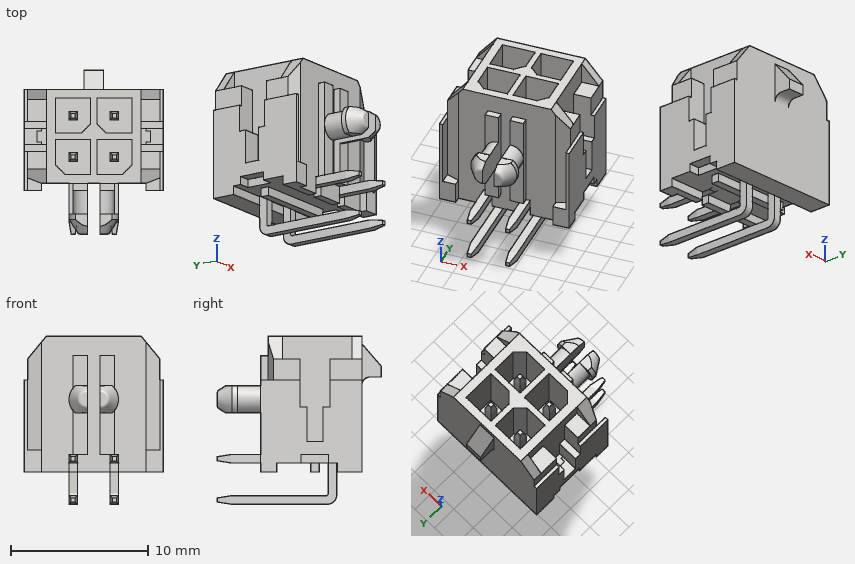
import cadquery as cq
import math


HOUSING_HEIGHT = 9.89
HOUSING_DEPTH = 6.83
TOP_HALF_WIDTH = 3.45
BODY_HALF_WIDTH = 4.81
SHOULDER_Z = 8.24
FRONT_PILLAR_DEPTH = 1.03
BACK_PILLAR_DEPTH = 0.73
CORNER_HALF_WIDTH = 3.8
CORNER_CHAMFER_DEPTH = 0.39

OVERALL_WIDTH = 10.15
PLATE_HALF_WIDTH = OVERALL_WIDTH / 2
PLATE_HEIGHT = 6.71
FOOT_HEIGHT = 1.62
FRONT_PROJECTION = 0.54
ARCH_FRONT_Y = 0.64
ARCH_BACK_Y = 5.03
UNDER_RIB_WIDTH = 0.64

SLOT_CENTRE_Y = 3.4
SLOT_WIDE = 2.2
SLOT_NARROW = 1.16
SLOT_LEDGE_Z = 4.72
SLOT_FLOOR_Z = 2.23
NOTCH_WIDTH = 2.01
NOTCH_ROOF_Z = 1.26

HOOK_WIDTH = 1.45
HOOK_PROJECTION = 1.41
HOOK_TOP_Z = 9.33
HOOK_NOSE_Z = 7.7
HOOK_UNDERSIDE_Z = 6.9
HOOK_FILLET = 0.58

PITCH = 3.0
POCKET_SIZE = 2.55
POCKET_CHAMFER = 0.69
POCKET_DEPTH = 6.73
FRONT_ROW_Y = 1.92
BACK_ROW_Y = FRONT_ROW_Y + PITCH
POCKET_FLOOR_Z = HOUSING_HEIGHT - POCKET_DEPTH

WIRE = 0.64
TIP_LENGTH = 1.03
TIP_SIZE = 0.3
BAR_END_Y = -3.71
LOWER_BAR_Z = -2.35
UPPER_BAR_Z = LOWER_BAR_Z + PITCH
LEG_OFFSET = 0.23
INNER_BEND = 0.16
OUTER_BEND = 0.71
JOG_Z = 1.84
PIN_RECESS = 1.84
PIN_TIP_Z = HOUSING_HEIGHT - PIN_RECESS

PEG_INNER_X = 0.45
RIB_OUTER_X = 1.49
RIB_TOP_Z = 8.47
RIB_BOTTOM_Z = UPPER_BAR_Z + WIRE
PEG_Z = 5.29
SHAFT_RADIUS = 0.99
PEG_AXIS_X = RIB_OUTER_X - SHAFT_RADIUS
HEAD_RADIUS = 1.3
HEAD_START_Y = -2.24
CONE_START_Y = -2.62
CONE_END_RADIUS = 0.6
CONE_FILLET = 0.25

ANCHOR_BAR_X = CORNER_HALF_WIDTH
ANCHOR_TONGUE_X = 4.14
TONGUE_WIDTH = 0.8

SIDES = (-1, 1)


def block(x0, x1, y0, y1, z0, z1):
    """Box between two opposite corners, whichever way round each pair is given."""
    size = (abs(x1 - x0), abs(y1 - y0), abs(z1 - z0))
    corner = (min(x0, x1), min(y0, y1), min(z0, z1))
    return cq.Workplane("XY").box(*size, centered=False).translate(corner)


def shroud():
    """Box with sloped top shoulders and two chamfered front corners."""
    body = (
        cq.Workplane("XZ")
        .polyline([
            (-BODY_HALF_WIDTH, 0),
            (BODY_HALF_WIDTH, 0),
            (BODY_HALF_WIDTH, SHOULDER_Z),
            (TOP_HALF_WIDTH, HOUSING_HEIGHT),
            (-TOP_HALF_WIDTH, HOUSING_HEIGHT),
            (-BODY_HALF_WIDTH, SHOULDER_Z),
        ])
        .close()
        .extrude(-HOUSING_DEPTH)
    )
    for side in SIDES:
        body = body.cut(block(
            side * TOP_HALF_WIDTH, side * BODY_HALF_WIDTH,
            FRONT_PILLAR_DEPTH, HOUSING_DEPTH - BACK_PILLAR_DEPTH,
            SHOULDER_Z, HOUSING_HEIGHT,
        ))
        corner = (
            cq.Workplane("XY", origin=(0, 0, FOOT_HEIGHT))
            .polyline([
                (side * CORNER_HALF_WIDTH, 0),
                (side * BODY_HALF_WIDTH, 0),
                (side * BODY_HALF_WIDTH, CORNER_CHAMFER_DEPTH),
            ])
            .close()
            .extrude(HOUSING_HEIGHT - FOOT_HEIGHT)
        )
        body = body.cut(corner)
    return body


def side_plate(side):
    """Thin outer plate with a foot at its front."""
    plate = block(
        side * BODY_HALF_WIDTH, side * PLATE_HALF_WIDTH,
        -FRONT_PROJECTION, HOUSING_DEPTH, 0, PLATE_HEIGHT,
    )
    foot = block(
        side * CORNER_HALF_WIDTH, side * PLATE_HALF_WIDTH,
        -FRONT_PROJECTION, CORNER_CHAMFER_DEPTH, 0, FOOT_HEIGHT,
    )
    return plate.union(foot)


def slot_part(side, inner_x, outer_x, width, bottom_z, top_z):
    """Block centred on the side slot in Y."""
    return block(
        side * inner_x, side * outer_x,
        SLOT_CENTRE_Y - width / 2, SLOT_CENTRE_Y + width / 2, bottom_z, top_z,
    )


def side_openings(side):
    """Stepped guide slot above and square notch below."""
    wide = slot_part(
        side, TOP_HALF_WIDTH, PLATE_HALF_WIDTH, SLOT_WIDE, SLOT_LEDGE_Z, HOUSING_HEIGHT,
    )
    narrow = slot_part(
        side, TOP_HALF_WIDTH, PLATE_HALF_WIDTH, SLOT_NARROW, SLOT_FLOOR_Z, SLOT_LEDGE_Z,
    )
    notch = slot_part(
        side, ANCHOR_TONGUE_X, PLATE_HALF_WIDTH, NOTCH_WIDTH, 0, NOTCH_ROOF_Z,
    )
    return wide.union(narrow).union(notch)


def latch_hook():
    """Wedge with a filleted underside, centred on the back wall."""
    nose_y = HOUSING_DEPTH + HOOK_PROJECTION
    arc_rise = HOOK_FILLET * (1 - math.sqrt(0.5))
    return (
        cq.Workplane("YZ", origin=(-HOOK_WIDTH / 2, 0, 0))
        .moveTo(HOUSING_DEPTH, HOOK_TOP_Z)
        .lineTo(nose_y, HOOK_NOSE_Z)
        .lineTo(nose_y, HOOK_UNDERSIDE_Z)
        .lineTo(HOUSING_DEPTH + HOOK_FILLET, HOOK_UNDERSIDE_Z)
        .threePointArc(
            (HOUSING_DEPTH + arc_rise, HOOK_UNDERSIDE_Z - arc_rise),
            (HOUSING_DEPTH, HOOK_UNDERSIDE_Z - HOOK_FILLET),
        )
        .close()
        .extrude(HOOK_WIDTH)
    )


def pocket(side, row_y, chamfer_side):
    """Square pocket with its front corner chamfered on the +1 or -1 X side."""
    half = POCKET_SIZE / 2
    return (
        cq.Workplane("XY", origin=(side * PITCH / 2, row_y, POCKET_FLOOR_Z))
        .polyline([
            (-chamfer_side * half, half),
            (chamfer_side * half, half),
            (chamfer_side * half, POCKET_CHAMFER - half),
            (chamfer_side * (half - POCKET_CHAMFER), -half),
            (-chamfer_side * half, -half),
        ])
        .close()
        .extrude(POCKET_DEPTH)
    )


def front_wall_slot(side):
    """Opening under the upper terminal bar, through the front wall."""
    x = side * PITCH / 2
    return block(x - WIRE / 2, x + WIRE / 2, 0, ARCH_FRONT_Y, 0, UPPER_BAR_Z)


def underside_rib():
    """Cross rib in the middle of the underside arch."""
    return block(
        -TOP_HALF_WIDTH, TOP_HALF_WIDTH,
        SLOT_CENTRE_Y - UNDER_RIB_WIDTH / 2, SLOT_CENTRE_Y + UNDER_RIB_WIDTH / 2,
        0, UPPER_BAR_Z,
    )


def build_housing():
    housing = shroud().union(latch_hook())
    for side in SIDES:
        housing = housing.union(side_plate(side))
    arch = block(
        -PLATE_HALF_WIDTH, PLATE_HALF_WIDTH, ARCH_FRONT_Y, ARCH_BACK_Y, 0, UPPER_BAR_Z,
    )
    housing = housing.cut(arch).union(underside_rib())
    for side in SIDES:
        housing = housing.cut(side_openings(side))
        housing = housing.cut(front_wall_slot(side))
        housing = housing.cut(pocket(side, BACK_ROW_Y, -side))
        housing = housing.cut(pocket(side, FRONT_ROW_Y, side))
    return housing


def tapered_tip(plane):
    """Square tip that narrows along the normal of the given plane."""
    return (
        cq.Workplane(plane)
        .rect(WIRE, WIRE)
        .workplane(offset=TIP_LENGTH)
        .rect(TIP_SIZE, TIP_SIZE)
        .loft(combine=True)
    )


def terminal(side, row_y, bar_z):
    """Square wire: upright pin, small jog, leg, bend and forward bar, with tapered ends."""
    x = side * PITCH / 2
    leg_back_y = row_y - LEG_OFFSET + WIRE / 2
    leg_front_y = leg_back_y - WIRE
    bar_start_y = BAR_END_Y + TIP_LENGTH
    bar_top_z = bar_z + WIRE
    pin_shoulder_z = PIN_TIP_Z - TIP_LENGTH

    leg_and_bar = (
        cq.Workplane("YZ", origin=(x - WIRE / 2, 0, 0))
        .moveTo(bar_start_y, bar_z)
        .lineTo(leg_back_y - OUTER_BEND, bar_z)
        .tangentArcPoint((leg_back_y, bar_z + OUTER_BEND), relative=False)
        .lineTo(leg_back_y, JOG_Z + WIRE)
        .lineTo(leg_front_y, JOG_Z + WIRE)
        .lineTo(leg_front_y, bar_top_z + INNER_BEND)
        .tangentArcPoint((leg_front_y - INNER_BEND, bar_top_z), relative=False)
        .lineTo(bar_start_y, bar_top_z)
        .close()
        .extrude(WIRE)
    )
    pin = block(
        x - WIRE / 2, x + WIRE / 2, row_y - WIRE / 2, row_y + WIRE / 2, JOG_Z, pin_shoulder_z,
    )
    bar_tip = tapered_tip("XZ").translate((x, bar_start_y, bar_z + WIRE / 2))
    pin_tip = tapered_tip("XY").translate((x, row_y, pin_shoulder_z))
    return leg_and_bar.union(pin).union(bar_tip).union(pin_tip)


def mounting_peg(side):
    """Upright rib carrying half of a split peg with a barbed head."""
    rib = block(
        side * PEG_INNER_X, side * RIB_OUTER_X, -FRONT_PROJECTION, 0, RIB_BOTTOM_Z, RIB_TOP_Z,
    )
    axis = cq.Workplane("XZ", origin=(side * PEG_AXIS_X, 0, PEG_Z))
    shaft = axis.circle(SHAFT_RADIUS).extrude(-HEAD_START_Y)
    head = (
        cq.Workplane("XY", origin=(side * PEG_AXIS_X, 0, PEG_Z))
        .polyline([
            (0, HEAD_START_Y),
            (HEAD_RADIUS, HEAD_START_Y),
            (HEAD_RADIUS, CONE_START_Y),
            (CONE_END_RADIUS, BAR_END_Y),
            (0, BAR_END_Y),
        ])
        .close()
        .revolve(360, (0, 0, 0), (0, 1, 0))
        .faces("<Y")
        .edges()
        .fillet(CONE_FILLET)
    )
    half_envelope = block(
        side * PEG_INNER_X, side * (PEG_AXIS_X + HEAD_RADIUS),
        BAR_END_Y, 0, PEG_Z - SHAFT_RADIUS, PEG_Z + SHAFT_RADIUS,
    )
    return rib.union(shaft.union(head).intersect(half_envelope))


def anchor(side):
    """T-shaped plug, flush with the slot floor and the roof of the notch."""
    crossbar = slot_part(
        side, TOP_HALF_WIDTH, ANCHOR_BAR_X, SLOT_NARROW, NOTCH_ROOF_Z, SLOT_FLOOR_Z,
    )
    tongue = slot_part(
        side, TOP_HALF_WIDTH, ANCHOR_TONGUE_X, TONGUE_WIDTH, NOTCH_ROOF_Z, SLOT_FLOOR_Z,
    )
    return crossbar.union(tongue)


terminals = []
pegs = []
anchors = []
for side in SIDES:
    terminals.append(terminal(side, FRONT_ROW_Y, UPPER_BAR_Z))
    terminals.append(terminal(side, BACK_ROW_Y, LOWER_BAR_Z))
    pegs.append(mounting_peg(side))
    anchors.append(anchor(side))

housing = build_housing()
for insert in terminals + anchors:
    housing = housing.cut(insert)

bodies = [housing] + terminals + pegs + anchors
result = cq.Compound.makeCompound([body.val() for body in bodies])